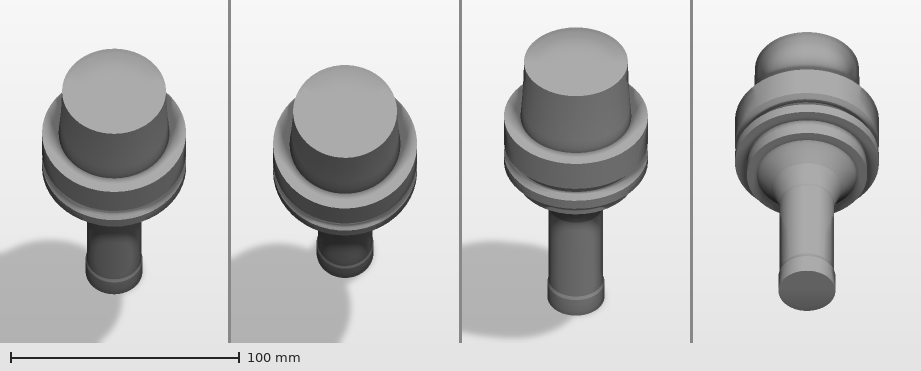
import cadquery as cq

tip_diameter = 25.0
neck_diameter = 23.8
flare_middle_diameter = 31.0
flare_top_diameter = 43.7
collar_diameter = 52.6
flange_diameter = 63.0
groove_diameter = 55.0
groove_lip_diameter = 58.6
shank_base_diameter = 48.5
shank_top_diameter = 45.5

tip_height = 9.0
neck_bottom = 10.7
neck_top = 53.7
flare_middle = 63.4
collar_bottom = 71.2
flange_bottom = 79.0
flange_top = 105.2
total_height = 137.0

groove_bottom = 85.4
groove_top = 89.0
rim_chamfer_height = 1.6

flare_sag = 0.2
shank_sag = 0.3


def point(diameter, height):
    """Profile point in the XZ half plane."""
    return (diameter / 2, height)


def bowed_in(profile, start, end, sag):
    """Add an arc whose middle lies closer to the axis than its chord."""
    middle = ((start[0] + end[0]) / 2 - sag, (start[1] + end[1]) / 2)
    return profile.threePointArc(middle, end)


profile = (
    cq.Workplane("XZ")
    .moveTo(0, 0)
    .lineTo(*point(tip_diameter, 0))
    .lineTo(*point(tip_diameter, tip_height))
    .lineTo(*point(neck_diameter, neck_bottom))
    .lineTo(*point(neck_diameter, neck_top))
)

flare_points = [
    point(neck_diameter, neck_top),
    point(flare_middle_diameter, flare_middle),
    point(flare_top_diameter, collar_bottom),
]
for lower, upper in zip(flare_points, flare_points[1:]):
    profile = bowed_in(profile, lower, upper, flare_sag)

shank_base = point(shank_base_diameter, flange_top)
shank_top = point(shank_top_diameter, total_height)
profile = (
    profile
    .lineTo(*point(collar_diameter, collar_bottom))
    .lineTo(*point(collar_diameter, flange_bottom))
    .lineTo(*point(flange_diameter, flange_bottom))
    .lineTo(*point(flange_diameter, groove_bottom - rim_chamfer_height))
    .lineTo(*point(groove_lip_diameter, groove_bottom))
    .lineTo(*point(groove_diameter, groove_bottom))
    .lineTo(*point(groove_diameter, groove_top))
    .lineTo(*point(groove_lip_diameter, groove_top))
    .lineTo(*point(flange_diameter, groove_top + rim_chamfer_height))
    .lineTo(*point(flange_diameter, flange_top))
    .lineTo(*shank_base)
)

profile = bowed_in(profile, shank_base, shank_top, shank_sag)
profile = profile.lineTo(0, total_height).close()

result = profile.revolve(360, (0, 0, 0), (0, 1, 0))